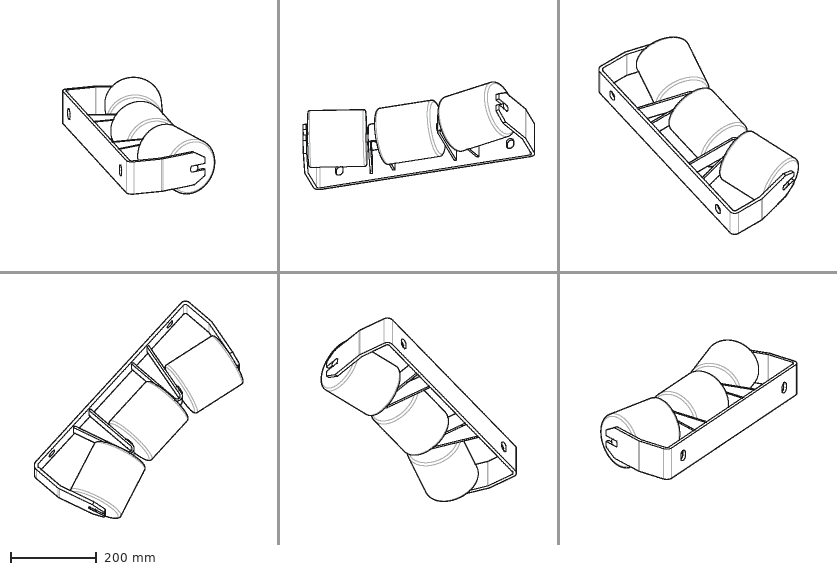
import cadquery as cq
import math

TILT = 15.0
SIN_TILT = math.sin(math.radians(TILT))
COS_TILT = math.cos(math.radians(TILT))

ROLLER_DIAMETER = 133.0
ROLLER_LENGTH = 135.0
ROLLER_FILLET = 5.0
AXLE_DIAMETER = 20.0
AXLE_FLAT_WIDTH = 15.0
ARM_GAP = 4.0
BRACKET_GAP = 5.0
CENTER_ROLLER_Y = 125.0
SIDE_ROLLER_X = 170.4
SIDE_ROLLER_Y = 147.67

FRAME_LENGTH = 540.0
STRAP_HEIGHT = 80.0
STRAP_THICKNESS = 8.0
STRAP_BEND = 14.0
ARM_TIP_Y = 197.5
TIP_CHAMFER_LENGTH = 30.0
TIP_CHAMFER_HEIGHT = 18.0

MOUNT_X = 208.5
MOUNT_WIDTH = 18.0
MOUNT_HEIGHT = 26.0

BRACKET_HEIGHT = 46.0
BRACKET_THICKNESS = 5.0
BRACKET_TOP_Y = 151.2

HALF_LENGTH = FRAME_LENGTH / 2
HALF_HEIGHT = STRAP_HEIGHT / 2
ROLLER_TO_ARM = ROLLER_LENGTH / 2 + ARM_GAP
ROLLER_TO_BRACKET = ROLLER_LENGTH / 2 + BRACKET_GAP
BEND_INSIDE = STRAP_BEND - STRAP_THICKNESS
ARM_CORNER_Y = (
    SIDE_ROLLER_Y
    - ((HALF_LENGTH - SIDE_ROLLER_X) * COS_TILT - ROLLER_TO_ARM - STRAP_THICKNESS) / SIN_TILT
)
ARM_BEND_Y = ARM_CORNER_Y - STRAP_BEND * math.tan(math.radians(TILT / 2))
ARM_TIP_X = -HALF_LENGTH + (ARM_TIP_Y - ARM_CORNER_Y) * SIN_TILT / COS_TILT
AXLE_END = ROLLER_TO_ARM + STRAP_THICKNESS
LEG_CONTACT_X = -SIDE_ROLLER_X + ROLLER_TO_BRACKET * COS_TILT
LEG_CONTACT_Y = SIDE_ROLLER_Y - ROLLER_TO_BRACKET * SIN_TILT
BRACKET_BEND = (
    (-ROLLER_TO_BRACKET - LEG_CONTACT_X) * COS_TILT - (BRACKET_TOP_Y - LEG_CONTACT_Y) * SIN_TILT
) / (1 + COS_TILT - SIN_TILT)


def on_circle(center, radius, degrees):
    """Point on a circle, the angle counted from +X towards +Y."""
    angle = math.radians(degrees)
    return (center[0] + radius * math.cos(angle), center[1] + radius * math.sin(angle))


def mirrored(body):
    return body.mirror("YZ")


def strip(outline, height):
    """Extrude an outline in XY to a strip of the given height, centred on Z = 0."""
    return outline.extrude(height / 2, both=True)


def left_half_strap():
    corner = (-HALF_LENGTH + STRAP_BEND, STRAP_BEND)
    arm_bend = (-HALF_LENGTH + STRAP_BEND, ARM_BEND_Y)
    tip = (ARM_TIP_X, ARM_TIP_Y)
    tip_inside = (tip[0] + STRAP_THICKNESS * COS_TILT, tip[1] - STRAP_THICKNESS * SIN_TILT)
    outline = (
        cq.Workplane("XY")
        .moveTo(0, 0)
        .lineTo(corner[0], 0)
        .threePointArc(on_circle(corner, STRAP_BEND, 225), on_circle(corner, STRAP_BEND, 180))
        .lineTo(-HALF_LENGTH, ARM_BEND_Y)
        .threePointArc(
            on_circle(arm_bend, STRAP_BEND, 180 - TILT / 2),
            on_circle(arm_bend, STRAP_BEND, 180 - TILT),
        )
        .lineTo(*tip)
        .lineTo(*tip_inside)
        .lineTo(*on_circle(arm_bend, BEND_INSIDE, 180 - TILT))
        .threePointArc(
            on_circle(arm_bend, BEND_INSIDE, 180 - TILT / 2),
            on_circle(arm_bend, BEND_INSIDE, 180),
        )
        .lineTo(*on_circle(corner, BEND_INSIDE, 180))
        .threePointArc(on_circle(corner, BEND_INSIDE, 225), on_circle(corner, BEND_INSIDE, 270))
        .lineTo(0, STRAP_THICKNESS)
        .close()
    )
    return strip(outline, STRAP_HEIGHT).cut(arm_tip_chamfers()).cut(axle_slot()).cut(mounting_hole())


def arm_plane():
    """Outer face of the left arm: local x runs down the arm from its tip, local y is Z."""
    return cq.Plane(
        origin=(ARM_TIP_X, ARM_TIP_Y, 0),
        xDir=(-SIN_TILT, -COS_TILT, 0),
        normal=(-COS_TILT, SIN_TILT, 0),
    )


def axle_distance_from_tip():
    axle_y = SIDE_ROLLER_Y + AXLE_END * SIN_TILT
    return (ARM_TIP_Y - axle_y) / COS_TILT


def arm_tip_chamfers():
    corner = (
        cq.Workplane(arm_plane())
        .moveTo(0, HALF_HEIGHT)
        .lineTo(TIP_CHAMFER_LENGTH, HALF_HEIGHT)
        .lineTo(0, HALF_HEIGHT - TIP_CHAMFER_HEIGHT)
        .close()
        .extrude(-STRAP_THICKNESS)
    )
    return corner.union(corner.mirror("XY"))


def axle_slot():
    """Open slot in the arm, its end rounded to the axle."""
    depth = axle_distance_from_tip()
    half_width = AXLE_FLAT_WIDTH / 2
    arc_start = depth + math.sqrt((AXLE_DIAMETER / 2) ** 2 - half_width**2)
    return (
        cq.Workplane(arm_plane())
        .moveTo(0, -half_width)
        .lineTo(arc_start, -half_width)
        .threePointArc((depth + AXLE_DIAMETER / 2, 0), (arc_start, half_width))
        .lineTo(0, half_width)
        .close()
        .extrude(-STRAP_THICKNESS)
    )


def mounting_hole():
    return (
        cq.Workplane("XZ")
        .center(-MOUNT_X, 0)
        .slot2D(MOUNT_HEIGHT, MOUNT_WIDTH, 90)
        .extrude(-STRAP_THICKNESS)
    )


def left_bracket():
    """Straight leg beside the centre roller, crest, and a leg leaning with the side roller."""
    inside = BRACKET_BEND - BRACKET_THICKNESS
    crest = (-ROLLER_TO_BRACKET - BRACKET_BEND, BRACKET_TOP_Y - BRACKET_BEND)

    def leaning_foot(radius):
        drop = crest[1] - STRAP_THICKNESS
        return (crest[0] - (radius + drop * SIN_TILT) / COS_TILT, STRAP_THICKNESS)

    lean_end = 180 - TILT
    crest_middle = lean_end / 2
    outline = (
        cq.Workplane("XY")
        .moveTo(crest[0] + BRACKET_BEND, STRAP_THICKNESS)
        .lineTo(crest[0] + BRACKET_BEND, crest[1])
        .threePointArc(
            on_circle(crest, BRACKET_BEND, crest_middle), on_circle(crest, BRACKET_BEND, lean_end)
        )
        .lineTo(*leaning_foot(BRACKET_BEND))
        .lineTo(*leaning_foot(inside))
        .lineTo(*on_circle(crest, inside, lean_end))
        .threePointArc(on_circle(crest, inside, crest_middle), (crest[0] + inside, crest[1]))
        .lineTo(crest[0] + inside, STRAP_THICKNESS)
        .close()
    )
    return strip(outline, BRACKET_HEIGHT)


def barrel():
    """Roller barrel along X, centred on the origin."""
    return (
        cq.Workplane("YZ", origin=(-ROLLER_LENGTH / 2, 0, 0))
        .circle(ROLLER_DIAMETER / 2)
        .extrude(ROLLER_LENGTH)
        .edges("%CIRCLE")
        .fillet(ROLLER_FILLET)
    )


def axle(left_reach, right_reach):
    """Round axle along X, reaching the given distances to either side of the origin."""
    return (
        cq.Workplane("YZ", origin=(-left_reach, 0, 0))
        .circle(AXLE_DIAMETER / 2)
        .extrude(left_reach + right_reach)
    )


def left_side_roller():
    """Roller with a flatted axle end at its outer side, tilted into the arm's slot."""
    flats = cq.Workplane("XY", origin=(-AXLE_END + STRAP_THICKNESS / 2, 0, 0)).box(
        STRAP_THICKNESS, AXLE_DIAMETER, AXLE_FLAT_WIDTH
    )
    flatted_end = axle(AXLE_END, 0).intersect(flats)
    return (
        barrel()
        .union(axle(ROLLER_TO_ARM, ROLLER_TO_BRACKET))
        .union(flatted_end)
        .rotate((0, 0, 0), (0, 0, 1), -TILT)
        .translate((-SIDE_ROLLER_X, SIDE_ROLLER_Y, 0))
    )


def fixed_center_roller():
    """Centre roller whose axle runs from bracket to bracket."""
    return (
        barrel()
        .union(axle(ROLLER_TO_BRACKET, ROLLER_TO_BRACKET))
        .translate((0, CENTER_ROLLER_Y, 0))
    )


half_strap = left_half_strap()
bracket = left_bracket()
frame = (
    half_strap.union(mirrored(half_strap))
    .union(bracket)
    .union(mirrored(bracket))
    .union(fixed_center_roller())
)

left_roller = left_side_roller()
side_rollers = [left_roller, mirrored(left_roller)]

result = cq.Compound.makeCompound([frame.val()] + [body.val() for body in side_rollers])